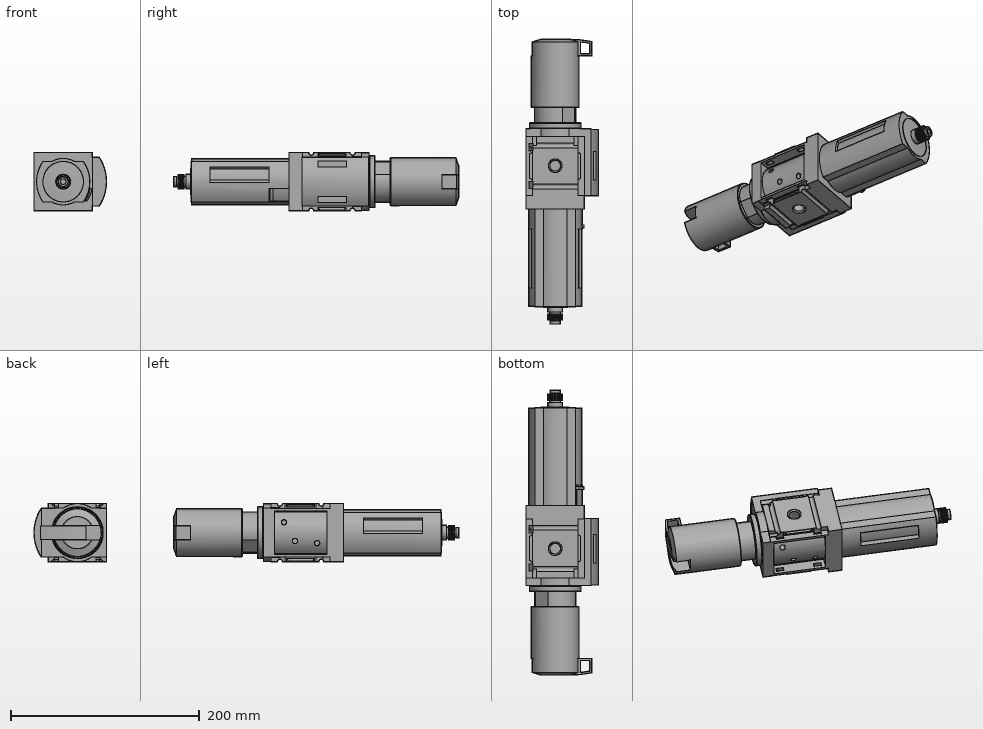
import cadquery as cq
import math


overall_length = 301.86

knob_diameter = 51.0
knob_end_y = 134.0
knob_base_y = 61.4
knob_end_chamfer_height = 3.0
knob_end_chamfer_width = 8.5
knob_base_chamfer = 0.6
slide_slot_width = 15.0
slide_width = 14.6
slide_floor_y = 116.2
slide_length = 48.0
slide_centre_x = 15.0
slide_end_drop = 2.5
slide_wall = 2.4
shackle_hole_length = 9.6

neck_diameter = 44.0
neck_across_flats = 40.0
neck_flat_angles = (45.0, 225.0)
collar_diameter = 55.0
collar_top_y = 45.5
collar_chamfer = 0.7

housing_width = 62.0
housing_top_y = 39.2
top_plate_bottom_y = 30.8
flange_top_y = -31.4
housing_bottom_y = -45.9
core_height = 52.0
rail_step = 0.3
crown_half_width = 14.8
crown_height = 30.8
face_width = 48.0
face_end_width = 40.0
face_corner_step = 0.5
face_groove_offset = 21.9
face_groove_width = 5.2
face_groove_depth = 2.8
ear_reach = 3.0
ear_length = 29.6
ear_slope = 2.0
ear_drop = 0.5
ear_tip_thickness = 0.6
ear_root_thickness = 3.1
port_diameter = 11.4
port_mouth_diameter = 14.5
port_depth = 15.0

window_top_y = 27.4
window_bottom_y = -28.3
window_height = 46.0
drum_radius = 29.0
drum_half_height = 21.8
drum_hole_diameter = 5.5
drum_hole_floor_x = -14.0
drum_hole_places = ((17.3, 11.0), (5.6, -8.8), (-17.9, -11.1))

rail_pocket_outer_x = -27.6
rail_pocket_inner_x = -23.6
rail_pocket_length = 7.6
rail_pocket_offset = 20.2

cover_straight_x = 38.2
cover_crown_x = 46.0
cover_end_inset = 0.6
cover_slot_x = 42.1
cover_slot_width = 3.0
cover_slot_length = 30.0
cover_slot_depth = 3.0

bowl_end_y = -148.9
bowl_half_width = 28.2
bowl_flat_half_width = 21.4
bowl_flat_half_height = 21.3
bowl_bulge_radius = 24.6
bowl_slot_top_y = -66.9
bowl_slot_bottom_y = -129.3
bowl_slot_mouth_bottom_z = -0.6
bowl_slot_mouth_top_z = 18.3
bowl_slot_depth = 3.0
bowl_slot_wall_slope = 0.85
bowl_cone_diameter = 42.92
bowl_cone_end_diameter = 23.2
bowl_rim_height = 0.5
bowl_cone_height = 0.6

latch_top_z = -7.4
latch_bottom_z = -20.5
latch_thickness = 1.3
latch_end_y = -67.2
latch_ridge_top_y = -62.6
latch_ridge_bottom_y = -65.8
latch_ridge_height = 3.2

drain_diameter = 15.8
drain_neck_diameter = 11.8
drain_tip_diameter = 10.0
drain_lip_diameter = 11.0
drain_bore_diameter = 6.0
drain_bore_depth = 12.0
drain_shank_end_y = -155.0
drain_grip_top_y = -156.8
drain_grip_bottom_y = -163.6
drain_lip_top_y = -164.7
drain_end_y = knob_end_y - overall_length
grip_groove_count = 16
grip_groove_width = 1.2
grip_groove_depth = 1.0
grip_ring_count = 2
grip_ring_width = 0.8


def section_at(y):
    """Workplane across the Y axis: local x is X, local y is Z, extrusion runs toward -Y."""
    return cq.Workplane("XZ", origin=(0, y, 0))


def cylinder(diameter, y_top, y_bottom):
    return section_at(y_top).circle(diameter / 2).extrude(y_top - y_bottom)


def block(x_min, x_max, y_min, y_max, z_min, z_max):
    size = (x_max - x_min, y_max - y_min, z_max - z_min)
    return cq.Workplane("XY").box(*size, centered=False).translate((x_min, y_min, z_min))


def both_z_sides(shape):
    return shape.union(shape.mirror("XY"))


def make_knob():
    radius = knob_diameter / 2
    profile = (
        cq.Workplane("XY")
        .moveTo(0, knob_base_y)
        .lineTo(radius - knob_base_chamfer, knob_base_y)
        .lineTo(radius, knob_base_y + knob_base_chamfer)
        .lineTo(radius, knob_end_y - knob_end_chamfer_height)
        .lineTo(radius - knob_end_chamfer_width, knob_end_y)
        .lineTo(0, knob_end_y)
        .close()
    )
    body = profile.revolve(360, (0, 0, 0), (0, 1, 0))
    half = slide_slot_width / 2
    slot = block(-radius, radius, slide_floor_y, knob_end_y, -half, half)
    return body.cut(slot)


def slide_outline(wall, x_min, x_max):
    """Prism between two X limits, set in by `wall` from the slide's floor and crowned end."""
    half_length = slide_length / 2
    crown_radius = (half_length**2 + slide_end_drop**2) / (2 * slide_end_drop)
    crown = (
        cq.Workplane("XY", origin=(0, 0, -slide_width / 2))
        .center(slide_centre_x, knob_end_y - crown_radius)
        .circle(crown_radius - wall)
        .extrude(slide_width)
    )
    half = slide_width / 2
    return block(x_min, x_max, slide_floor_y + wall, knob_end_y, -half, half).intersect(crown)


def make_lock_slide():
    x_min = slide_centre_x - slide_length / 2
    x_max = slide_centre_x + slide_length / 2
    hole_x_max = x_max - slide_wall
    shackle_hole = slide_outline(slide_wall, hole_x_max - shackle_hole_length, hole_x_max)
    return slide_outline(0, x_min, x_max).cut(shackle_hole)


def make_neck_and_collar():
    neck = cylinder(neck_diameter, knob_base_y, collar_top_y)
    for angle in neck_flat_angles:
        flat = block(
            neck_across_flats / 2, neck_diameter, collar_top_y, knob_base_y, -neck_diameter, neck_diameter
        )
        neck = neck.cut(flat.rotate((0, 0, 0), (0, 1, 0), -angle))
    collar = cylinder(collar_diameter, collar_top_y, housing_top_y).faces("<Y or >Y").chamfer(collar_chamfer)
    return neck.union(collar)


def make_port_face():
    """Raised face on the +Z side with two round grooves and a hooked ear on each edge."""
    half_width = face_width / 2
    top = housing_width / 2
    base = core_height / 2
    face = block(-half_width, half_width, flange_top_y, top_plate_bottom_y, 0, top)

    middle_y = (flange_top_y + top_plate_bottom_y) / 2
    corner_end_y = middle_y + face_groove_offset
    corner_floor_z = base + face_corner_step
    for x_min in (-half_width, face_end_width / 2):
        x_max = x_min + (face_width - face_end_width) / 2
        face = face.cut(block(x_min, x_max, corner_end_y, top_plate_bottom_y, corner_floor_z, top))

    for groove_y in (middle_y - face_groove_offset, middle_y + face_groove_offset):
        groove = (
            cq.Workplane("YZ", origin=(-half_width, 0, 0))
            .moveTo(groove_y - face_groove_width / 2, top)
            .threePointArc(
                (groove_y, top - face_groove_depth),
                (groove_y + face_groove_width / 2, top),
            )
            .close()
            .extrude(face_width)
        )
        face = face.cut(groove)

    return face.union(make_ears())


def make_ears():
    """Hooks along both edges of the raised face, undercut toward the face."""
    half_length = ear_length / 2
    root_x = face_width / 2
    tip_x = root_x + ear_reach
    ear_top = housing_width / 2 - ear_drop
    outline = (
        cq.Workplane("XY")
        .polyline([
            (-tip_x, half_length - ear_slope),
            (-root_x, half_length),
            (root_x, half_length),
            (tip_x, half_length - ear_slope),
            (tip_x, ear_slope - half_length),
            (root_x, -half_length),
            (-root_x, -half_length),
            (-tip_x, ear_slope - half_length),
        ])
        .close()
        .extrude(ear_top)
    )
    hooks = (
        section_at(half_length)
        .polyline([
            (-tip_x, ear_top),
            (tip_x, ear_top),
            (tip_x, ear_top - ear_tip_thickness),
            (root_x, ear_top - ear_root_thickness),
            (-root_x, ear_top - ear_root_thickness),
            (-tip_x, ear_top - ear_tip_thickness),
        ])
        .close()
        .extrude(ear_length)
    )
    middle_y = (flange_top_y + top_plate_bottom_y) / 2
    return hooks.intersect(outline).translate((0, middle_y, 0))


def make_port():
    """Hole in the +Z face with a countersunk mouth."""
    top = housing_width / 2
    mouth_depth = (port_mouth_diameter - port_diameter) / 2
    profile = (
        cq.Workplane("XZ")
        .moveTo(0, top - port_depth)
        .lineTo(port_diameter / 2, top - port_depth)
        .lineTo(port_diameter / 2, top - mouth_depth)
        .lineTo(port_mouth_diameter / 2, top)
        .lineTo(0, top)
        .close()
    )
    return profile.revolve(360, (0, 0, 0), (0, 1, 0))


def make_window():
    """Opening in the -X wall, leaving a drum with three round pockets behind it."""
    half_height = window_height / 2
    drum_edge_x = -math.sqrt(drum_radius**2 - drum_half_height**2)
    opening = block(
        -housing_width / 2, drum_edge_x, window_bottom_y, window_top_y, -half_height, half_height
    )
    opening = opening.cut(cylinder(2 * drum_radius, window_top_y, window_bottom_y))
    pockets = (
        cq.Workplane("YZ", origin=(drum_hole_floor_x, 0, 0))
        .pushPoints(drum_hole_places)
        .circle(drum_hole_diameter / 2)
        .extrude(-housing_width / 2 - drum_hole_floor_x)
    )
    return opening.union(pockets)


def make_rail_pockets():
    """Two openings from the +Z rail down into the window."""
    middle_y = (flange_top_y + top_plate_bottom_y) / 2
    half_length = rail_pocket_length / 2
    pockets = cq.Workplane("XY")
    for pocket_y in (middle_y - rail_pocket_offset, middle_y + rail_pocket_offset):
        pocket = block(
            rail_pocket_outer_x,
            rail_pocket_inner_x,
            pocket_y - half_length,
            pocket_y + half_length,
            window_height / 2,
            housing_width / 2,
        )
        pockets = pockets.add(pocket)
    return pockets.combine()


def make_cover():
    half_height = core_height / 2
    body = block(housing_width / 2, cover_straight_x, flange_top_y, housing_top_y, -half_height, half_height)
    crown_top_y = housing_top_y - cover_end_inset
    crown_bottom_y = flange_top_y - cover_end_inset
    crown = (
        section_at(crown_top_y)
        .moveTo(housing_width / 2, -half_height)
        .lineTo(cover_straight_x, -half_height)
        .threePointArc((cover_crown_x, 0), (cover_straight_x, half_height))
        .lineTo(housing_width / 2, half_height)
        .close()
        .extrude(crown_top_y - crown_bottom_y)
    )
    crown_rise = cover_crown_x - cover_straight_x
    crown_radius = (half_height**2 + crown_rise**2) / (2 * crown_rise)
    slot_surface_z = math.sqrt(crown_radius**2 - (crown_radius - cover_crown_x + cover_slot_x) ** 2)
    slot = block(
        cover_slot_x - cover_slot_width / 2,
        cover_slot_x + cover_slot_width / 2,
        -cover_slot_length / 2,
        cover_slot_length / 2,
        slot_surface_z - cover_slot_depth,
        half_height,
    )
    return body.union(crown).cut(both_z_sides(slot))


def make_housing():
    half_width = housing_width / 2
    half_height = core_height / 2
    rail_height = half_height - rail_step
    core = block(-half_width, half_width, flange_top_y, top_plate_bottom_y, -rail_height, rail_height)
    top_plate = block(
        -half_width, half_width, top_plate_bottom_y, housing_top_y, -half_height, half_height
    )
    crown = (
        section_at(housing_top_y)
        .moveTo(-crown_half_width, half_height)
        .threePointArc((0, crown_height), (crown_half_width, half_height))
        .close()
        .extrude(housing_top_y - top_plate_bottom_y)
    )
    top_plate = top_plate.union(both_z_sides(crown))
    flange = block(-half_width, half_width, housing_bottom_y, flange_top_y, -half_width, half_width)
    housing = core.union(top_plate).union(flange).union(both_z_sides(make_port_face()))
    housing = housing.union(make_cover())
    housing = housing.cut(both_z_sides(make_port())).cut(make_window())
    return housing.cut(both_z_sides(make_rail_pockets()))


def make_bowl_prism(y_top, y_bottom, growth=0.0):
    """Barrel-sided prism; `growth` pushes its two curved sides outward."""
    side_x = bowl_half_width + growth
    edge_x = bowl_flat_half_width + growth
    z = bowl_flat_half_height
    return (
        section_at(y_top)
        .moveTo(-edge_x, z)
        .lineTo(edge_x, z)
        .threePointArc((side_x, 0), (edge_x, -z))
        .lineTo(-edge_x, -z)
        .threePointArc((-side_x, 0), (-edge_x, z))
        .close()
        .extrude(y_top - y_bottom)
    )


def make_sight_slot():
    """Slot with sloping long walls that follows the +X side of the bowl."""
    length = bowl_slot_top_y - bowl_slot_bottom_y
    floor_x = bowl_flat_half_width - bowl_slot_depth
    rise = bowl_slot_wall_slope * (bowl_half_width - floor_x)
    wedge = (
        section_at(bowl_slot_top_y)
        .moveTo(floor_x, bowl_slot_mouth_bottom_z + rise)
        .lineTo(bowl_half_width, bowl_slot_mouth_bottom_z)
        .lineTo(bowl_half_width, bowl_slot_mouth_top_z)
        .lineTo(floor_x, bowl_slot_mouth_top_z - rise)
        .close()
        .extrude(length)
    )
    return wedge.cut(make_bowl_prism(bowl_slot_top_y, bowl_slot_bottom_y, -bowl_slot_depth))


def make_bowl():
    bowl = make_bowl_prism(housing_bottom_y, bowl_end_y)
    bowl = bowl.union(cylinder(2 * bowl_bulge_radius, housing_bottom_y, bowl_end_y))
    slot = make_sight_slot()
    bowl = bowl.cut(slot).cut(slot.mirror("YZ"))
    rim_end_y = bowl_end_y - bowl_rim_height
    bowl = bowl.union(cylinder(bowl_cone_diameter, bowl_end_y, rim_end_y))
    cone = (
        section_at(rim_end_y)
        .circle(bowl_cone_diameter / 2)
        .workplane(offset=bowl_cone_height)
        .circle(bowl_cone_end_diameter / 2)
        .loft()
    )
    return bowl.union(cone)


def make_latch():
    """Plate on the +X, -Z side of the bowl with a finger ridge near its end."""
    band = block(0, housing_width / 2, latch_end_y, housing_bottom_y, latch_bottom_z, latch_top_z)
    plate = make_bowl_prism(housing_bottom_y, latch_end_y, latch_thickness)
    ridge = make_bowl_prism(latch_ridge_top_y, latch_ridge_bottom_y, latch_ridge_height)
    return plate.union(ridge).intersect(band)


def make_grip():
    """Knurled ring of the drain: lengthwise grooves crossed by ring grooves."""
    length = drain_grip_top_y - drain_grip_bottom_y
    grip = cylinder(drain_diameter, drain_grip_top_y, drain_grip_bottom_y)
    grooves = (
        section_at(drain_grip_top_y)
        .polarArray(drain_diameter / 2, 0, 360, grip_groove_count)
        .rect(2 * grip_groove_depth, grip_groove_width)
        .extrude(length)
    )
    grip = grip.cut(grooves)
    for index in range(grip_ring_count):
        ring_y = drain_grip_top_y - length * (index + 1) / (grip_ring_count + 1)
        ring = (
            section_at(ring_y + grip_ring_width / 2)
            .circle(drain_diameter / 2)
            .circle(drain_diameter / 2 - grip_groove_depth)
            .extrude(grip_ring_width)
        )
        grip = grip.cut(ring)
    return grip


def make_drain():
    drain = cylinder(drain_diameter, bowl_end_y, drain_shank_end_y)
    drain = drain.union(cylinder(drain_neck_diameter, drain_shank_end_y, drain_grip_top_y))
    drain = drain.union(make_grip())
    drain = drain.union(cylinder(drain_tip_diameter, drain_grip_bottom_y, drain_end_y))
    drain = drain.union(cylinder(drain_lip_diameter, drain_lip_top_y, drain_end_y))
    return drain.cut(cylinder(drain_bore_diameter, drain_end_y + drain_bore_depth, drain_end_y))


def make_valve_unit():
    unit = make_housing().union(make_neck_and_collar())
    unit = unit.union(make_bowl()).union(make_latch())
    return unit.union(make_drain())


valve_unit = make_valve_unit()
knob = make_knob()
lock_slide = make_lock_slide()

result = cq.Compound.makeCompound([valve_unit.val(), knob.val(), lock_slide.val()])